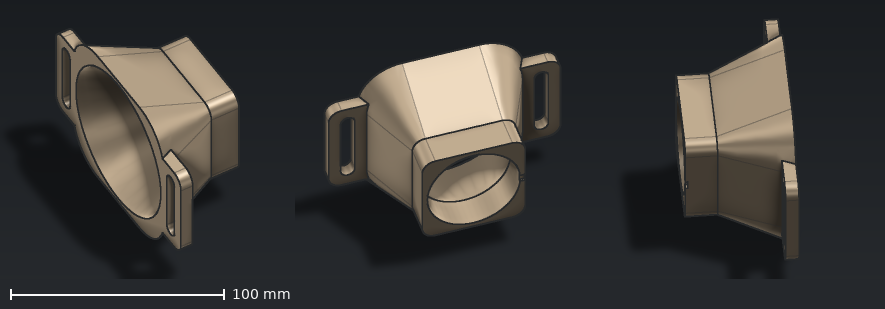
import cadquery as cq

overall_width = 114.3
overall_depth = 50.7
collar_side = 50.7
flare_side = 82.4

collar_corner_radius = 6.4
straight_edge = collar_side - 2 * collar_corner_radius
flare_corner_radius = (flare_side - straight_edge) / 2
collar_depth = 15.2
flare_depth = overall_depth - collar_depth

ear_thickness = 6.4
ear_corner_radius = collar_corner_radius
slot_width = 7.0
slot_length = 38.9
slot_offset = 47.7

mouth_diameter = 77.5
bore_diameter = 45.7

notch_width = 3.9
notch_depth = 1.1


def plane_at(depth):
    """XZ plane at the given Y, with its normal pointing to +Y."""
    return cq.Plane(origin=(0, depth, 0), xDir=(1, 0, 0), normal=(0, 1, 0))


def rounded_square(side, radius):
    return cq.Sketch().rect(side, side).vertices().fillet(radius)


def make_flare():
    return (
        cq.Workplane(plane_at(0))
        .placeSketch(
            rounded_square(flare_side, flare_corner_radius),
            rounded_square(collar_side, collar_corner_radius).moved(
                cq.Location(cq.Vector(0, 0, flare_depth))
            ),
        )
        .loft(ruled=True)
    )


def make_collar():
    outline = rounded_square(collar_side, collar_corner_radius)
    return cq.Workplane(plane_at(flare_depth)).placeSketch(outline).extrude(collar_depth)


def make_ears():
    return (
        cq.Workplane(plane_at(0))
        .rect(overall_width, collar_side)
        .extrude(ear_thickness)
        .edges("|Y")
        .fillet(ear_corner_radius)
    )


def make_slots():
    return (
        cq.Workplane(plane_at(0))
        .pushPoints([(-slot_offset, 0), (slot_offset, 0)])
        .slot2D(slot_length, slot_width, 90)
        .extrude(ear_thickness)
    )


def make_passage():
    """Cone narrowing from the mouth to the collar, then a straight bore."""
    return (
        cq.Workplane("XY")
        .lineTo(mouth_diameter / 2, 0)
        .lineTo(bore_diameter / 2, flare_depth)
        .lineTo(bore_diameter / 2, overall_depth)
        .lineTo(0, overall_depth)
        .close()
        .revolve(360, (0, 0, 0), (0, 1, 0))
    )


def make_notch():
    return cq.Workplane("XY").box(
        collar_side / 2, notch_depth, notch_width, centered=(False, False, True)
    ).translate((-collar_side / 2, overall_depth - notch_depth, 0))


body = make_flare().union(make_collar()).union(make_ears())
result = body.cut(make_slots()).cut(make_passage()).cut(make_notch())